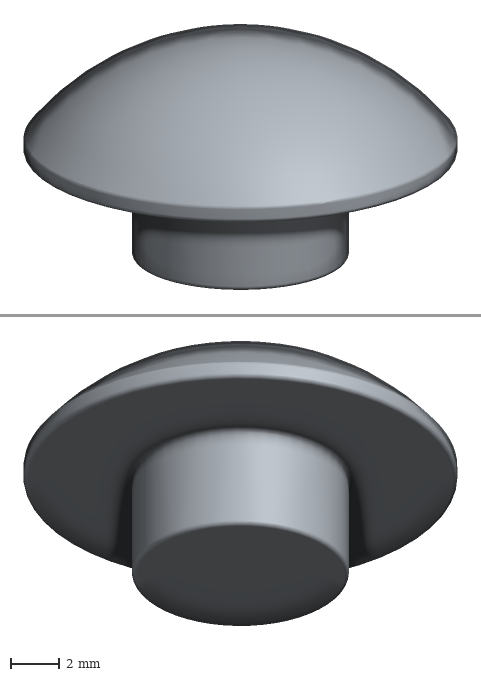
import cadquery as cq
import math

head_diameter = 18
stem_diameter = 9
total_height = 9.5
stem_length = 4.5
rim_height = 0.68
edge_round = 0.2

head_radius = head_diameter / 2
stem_radius = stem_diameter / 2
rim_top = stem_length + rim_height
dome_rise = total_height - rim_top
dome_radius = (head_radius**2 + dome_rise**2) / (2 * dome_rise)
dome_center = total_height - dome_radius
mid_radius = head_radius / 2
mid_height = dome_center + math.sqrt(dome_radius**2 - mid_radius**2)

profile = (
    cq.Workplane("XZ")
    .lineTo(stem_radius, 0)
    .lineTo(stem_radius, stem_length)
    .lineTo(head_radius, stem_length)
    .lineTo(head_radius, rim_top)
    .threePointArc((mid_radius, mid_height), (0, total_height))
    .close()
)
button = profile.revolve(360, (0, 0), (0, 1))


def round_circle(body, radius, height, round_radius):
    """Round the circular edge of the given radius at the given height."""
    margin = 0.02
    reach = radius + margin
    edges = body.edges("%CIRCLE").edges(
        cq.selectors.BoxSelector(
            (-reach, -reach, height - margin), (reach, reach, height + margin), boundingbox=True
        )
    )
    return edges.fillet(round_radius)


button = round_circle(button, stem_radius, 0, edge_round)
button = round_circle(button, stem_radius, stem_length, edge_round)
button = round_circle(button, head_radius, stem_length, edge_round)
button = round_circle(button, head_radius, rim_top, edge_round)

result = button